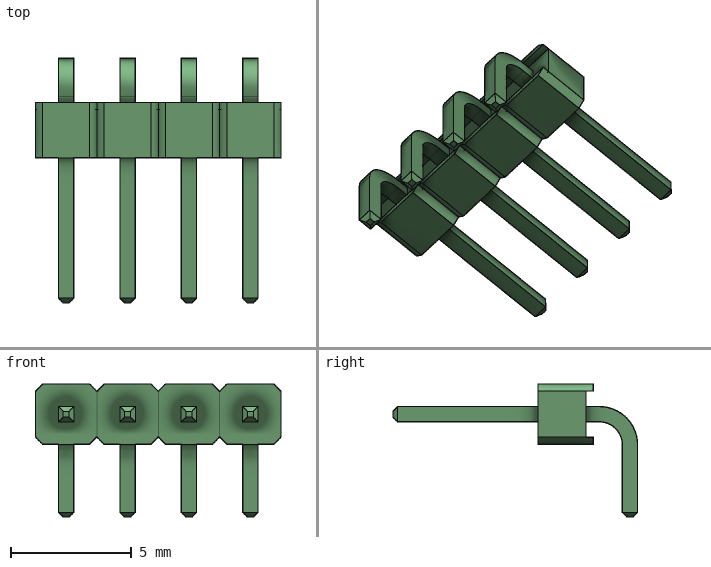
import cadquery as cq


pin_count = 4
pitch = 2.54

housing_depth = 2.3
housing_height = 2.5
corner_chamfer = 0.3
channel_depth = 0.3
channel_height = housing_height - 2 * corner_chamfer

pin_width = 0.64
front_reach = 6.0
back_reach = 1.83
leg_drop = 4.26
bend_inner_radius = 0.95
tip_chamfer = 0.2

half_pin = pin_width / 2
leg_axis_y = housing_depth + back_reach - half_pin
bend_axis_radius = bend_inner_radius + half_pin
bend_start_y = leg_axis_y - bend_axis_radius


def make_housing_block(x):
    """One eight-sided housing position, with a channel across its back face."""
    block = (
        cq.Workplane("XY")
        .box(pitch, housing_depth, housing_height, centered=(True, False, True))
        .edges("|Y")
        .chamfer(corner_chamfer)
    )
    channel = (
        cq.Workplane("XY")
        .box(pitch, channel_depth, channel_height, centered=(True, False, True))
        .translate((0, housing_depth - channel_depth, 0))
    )
    return block.cut(channel).translate((x, 0, 0))


def make_pin(x):
    """A square pin bent down behind the housing, tapered at both ends."""
    path = (
        cq.Workplane("YZ")
        .moveTo(-front_reach, 0)
        .lineTo(bend_start_y, 0)
        .radiusArc((leg_axis_y, -bend_axis_radius), bend_axis_radius)
        .lineTo(leg_axis_y, -leg_drop)
    )
    pin = cq.Workplane("XZ", origin=(0, -front_reach, 0)).rect(pin_width, pin_width).sweep(path)
    pin = pin.faces("<Y").chamfer(tip_chamfer)
    pin = pin.faces("<Z").chamfer(tip_chamfer)
    return pin.translate((x, 0, 0))


def make_header():
    """Join all positions, keeping the seams where neighbouring blocks meet."""
    first_x = -(pin_count - 1) * pitch / 2
    positions = [first_x + index * pitch for index in range(pin_count)]
    header = make_housing_block(positions[0])
    for x in positions[1:]:
        header = header.union(make_housing_block(x), clean=False)
    for x in positions:
        header = header.union(make_pin(x), clean=False)
    return header


result = make_header()